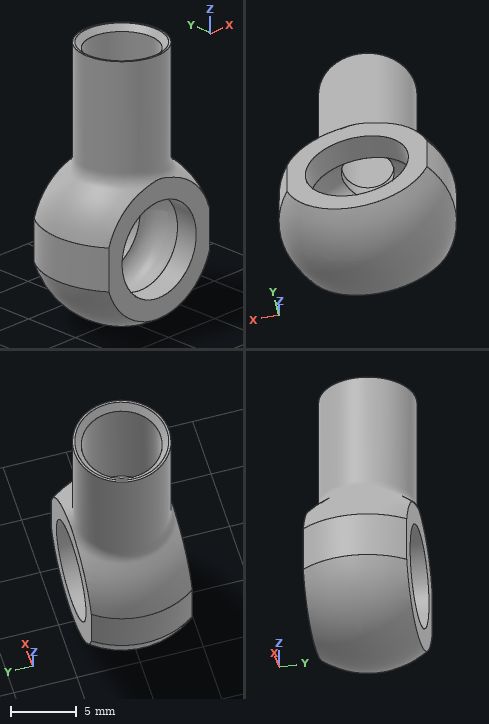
import cadquery as cq
import math

total_height = 23.0
eye_width = 13.5
eye_thickness = 8.0
ball_radius = 7.0

stem_radius = 3.75
neck_fillet = 1.5
bore_radius = 6.15 / 2
rim_radius = 3.56
rim_depth = rim_radius - bore_radius
bore_tip_slope = 30.0
passage_radius = 4.0 / 2

eye_hole_radius = 8.0 / 2
groove_width = 2 * passage_radius
groove_floor_width = 0.83
groove_depth = 1.47

stem_top = total_height - ball_radius
fillet_centre_radius = stem_radius + neck_fillet
fillet_centre_z = math.sqrt((ball_radius + neck_fillet) ** 2 - fillet_centre_radius ** 2)
bore_end_z = fillet_centre_z


def make_body():
    """Ball and stem turned in one piece, trimmed at the sides and on both faces."""
    touch_ratio = ball_radius / (ball_radius + neck_fillet)
    touch_point = (fillet_centre_radius * touch_ratio, fillet_centre_z * touch_ratio)
    turned = (
        cq.Workplane("XZ")
        .moveTo(0, -ball_radius)
        .threePointArc((ball_radius, 0), touch_point)
        .radiusArc((stem_radius, fillet_centre_z), neck_fillet)
        .lineTo(stem_radius, stem_top)
        .lineTo(0, stem_top)
        .close()
        .revolve(360, (0, 0), (0, 1))
    )
    barrel = cq.Workplane("XY").circle(eye_width / 2).extrude(total_height, both=True)
    slab = cq.Workplane("XY").box(2 * total_height, eye_thickness, 2 * total_height)
    return turned.intersect(barrel).intersect(slab)


def make_stem_bore():
    """Countersunk bore with a conical end, with a narrower passage on to the cross hole."""
    tip_depth = bore_radius * math.tan(math.radians(bore_tip_slope))
    bore = (
        cq.Workplane("XZ")
        .moveTo(0, bore_end_z - tip_depth)
        .lineTo(bore_radius, bore_end_z)
        .lineTo(bore_radius, stem_top - rim_depth)
        .lineTo(rim_radius, stem_top)
        .lineTo(0, stem_top)
        .close()
        .revolve(360, (0, 0), (0, 1))
    )
    passage = cq.Workplane("XY").circle(passage_radius).extrude(bore_end_z)
    return bore.union(passage)


def make_eye_hole():
    """Hole along Y, widened at mid-length by a groove with rounded sides."""
    half_groove = groove_width / 2
    half_floor = groove_floor_width / 2
    side_width = half_groove - half_floor
    side_radius = (side_width ** 2 + groove_depth ** 2) / (2 * groove_depth)
    floor_radius = eye_hole_radius + groove_depth
    half_length = eye_thickness / 2
    return (
        cq.Workplane("XY")
        .moveTo(0, -half_length)
        .lineTo(eye_hole_radius, -half_length)
        .lineTo(eye_hole_radius, -half_groove)
        .radiusArc((floor_radius, -half_floor), -side_radius)
        .lineTo(floor_radius, half_floor)
        .radiusArc((eye_hole_radius, half_groove), -side_radius)
        .lineTo(eye_hole_radius, half_length)
        .lineTo(0, half_length)
        .close()
        .revolve(360, (0, 0), (0, 1))
    )


result = make_body().cut(make_stem_bore()).cut(make_eye_hole())